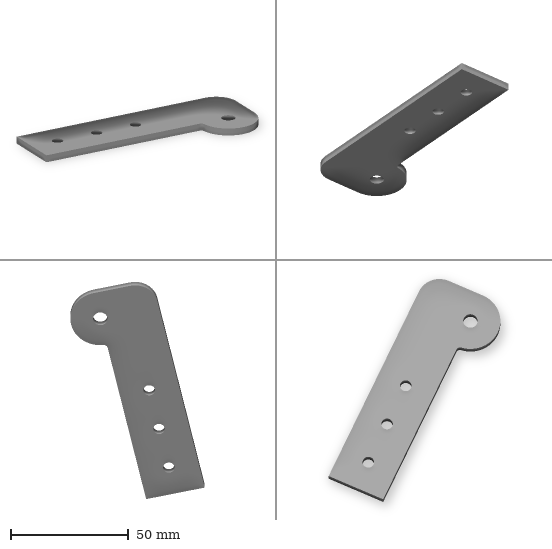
import cadquery as cq
import math

length = 101.6
arm_width = 25.4
thickness = 3.1
head_radius = arm_width / 2
corner_radius = 9.5
neck_fillet_radius = 1.6
pivot_hole_diameter = 6.1
mount_hole_diameter = 4.9
mount_hole_count = 3
first_hole_y = 12.7
last_hole_y = 50.8

head_x = arm_width
head_y = length - head_radius

neck_x = arm_width + neck_fillet_radius
neck_reach = head_radius + neck_fillet_radius
neck_drop = math.sqrt(neck_reach**2 - neck_fillet_radius**2)
neck_y = head_y - neck_drop
head_share = head_radius / neck_reach
neck_tangent = (head_x + neck_fillet_radius * head_share, head_y - neck_drop * head_share)

neck_end_angle = math.atan2(neck_drop, -neck_fillet_radius)
neck_mid_angle = (math.pi + neck_end_angle) / 2
neck_mid = (
    neck_x + neck_fillet_radius * math.cos(neck_mid_angle),
    neck_y + neck_fillet_radius * math.sin(neck_mid_angle),
)


def make_plate():
    """Flat arm with a round head overhanging its right edge."""
    plate = (
        cq.Workplane("XY")
        .lineTo(arm_width, 0)
        .lineTo(arm_width, neck_y)
        .threePointArc(neck_mid, neck_tangent)
        .threePointArc((head_x + head_radius, head_y), (head_x, length))
        .lineTo(0, length)
        .close()
        .extrude(thickness)
    )
    return plate.edges("|Z and <X").edges(">Y").fillet(corner_radius)


def hole_cutter(points, diameter):
    """Through-hole cylinders at the given points."""
    return cq.Workplane("XY").pushPoints(points).circle(diameter / 2).extrude(thickness)


hole_pitch = (last_hole_y - first_hole_y) / (mount_hole_count - 1)
mount_points = [(arm_width / 2, first_hole_y + i * hole_pitch) for i in range(mount_hole_count)]

result = (
    make_plate()
    .cut(hole_cutter([(head_x, head_y)], pivot_hole_diameter))
    .cut(hole_cutter(mount_points, mount_hole_diameter))
)